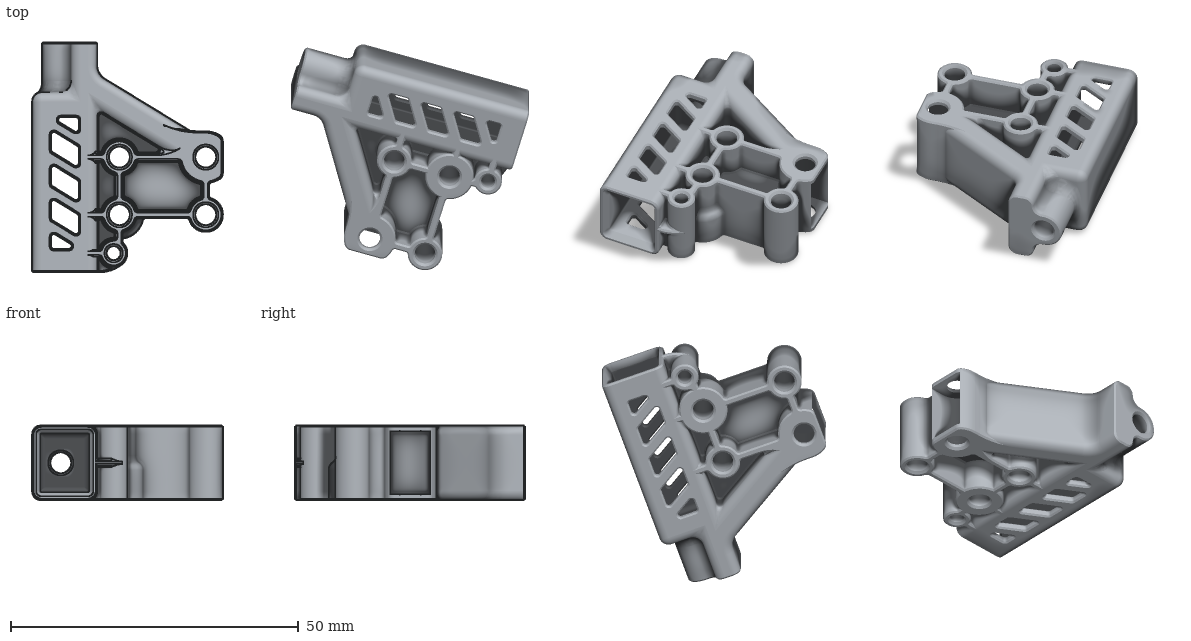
import cadquery as cq
import math

LENGTH = 40.0
HEIGHT = 13.0
HALF = HEIGHT / 2
EDGE = 0.28
ROUND = 1.6

TUBE_WIDTH = 11.35
TUBE_END = 31.28
TUBE_WALL = 1.4
MOUTH_WALL = 0.7
MOUTH_DEPTH = 1.3
CAVITY_END = 29.4
CAVITY_CORNER = 0.3
CAVITY_FILLET = 0.9

SLOT_WINDOW_X = 4.8
SLOT_WINDOW_Y = 22.9
SLOT_CENTER = (5.72, 15.53)
SLOT_WIDTH = 3.2
SLOT_PITCH = 5.05
SLOT_COUNT = 5
SLOT_CORNER = 0.5

ROD_X = 5.0
PLATE_LEFT = 6.8
NECK_FLARE = 2.0

ARM_ANGLE = math.radians(31.4)
ARM_WIDTH = 5.15
ARM_BEND = 2.7
ARM_START_Y = 34.43
ARM_CORNER = 0.7

BORE = 3.6
SMALL_BORE = 2.4
BORE_CHAMFER = 0.4
BOSS_WALL = 1.2
BOSS_R = BORE / 2 + BOSS_WALL
SMALL_BOSS_R = SMALL_BORE / 2 + BOSS_WALL
LEFT_X = 15.18
RIGHT_X = LEFT_X + 15.0
LOW_Y = 10.03
HIGH_Y = LOW_Y + 10.0
SMALL_X = 14.18
SMALL_Y = 3.35
RIB = 1.2
HALF_RIB = RIB / 2
RIB_FILLET = 0.5
TUBE_RIB_FILLET = 0.45
SMALL_RIB_FILLET = 0.3

HUB_R = 4.5
HUB_CORNER = 1.3
HUB_WALL = 1.0
HUB_ARM_R = 14.0
HUB_RIB_R = 7.4
HUB_RIB_RISE = 1.25

FOOT_R = 4.2
FOOT_CURVE = 1.5

WEB = 0.95
WEB_TOE_X = 11.6
WEB_TOE_R = 6.5

TOL = 0.01


def prism(outline, height=HEIGHT):
    """Extrude an XY outline symmetrically about the mid plane."""
    return outline.extrude(height / 2, both=True)


def block(x0, x1, y0, y1, height=HEIGHT):
    center = ((x0 + x1) / 2, (y0 + y1) / 2, 0)
    return cq.Workplane("XY").box(x1 - x0, y1 - y0, height).translate(center)


def cylinder(x, y, radius, height=HEIGHT):
    return prism(cq.Workplane("XY").center(x, y).circle(radius), height)


def inside(x0, x1, y0, y1, z0, z1):
    """Selector for edges whose centre lies in the given box."""
    return cq.selectors.BoxSelector((x0, y0, z0 - TOL), (x1, y1, z1 + TOL))


def nearest(x, y, z=0.0):
    return cq.selectors.NearestToPointSelector((x, y, z))


def fillet_upright(body, x, y, radius):
    """Fillet the Z-parallel edge nearest to (x, y)."""
    return body.edges("|Z").edges(nearest(x, y)).fillet(radius)


def make_tube():
    body = block(0, TUBE_WIDTH, 0, TUBE_END).edges("|Y or >Y").fillet(ROUND)
    return body.faces("<Y").edges().chamfer(EDGE)


def make_neck():
    """Rod and plate with one cross-section, made of tangent arcs of the same radius."""
    blend_x = PLATE_LEFT - ROUND
    blend_z = HALF - ROUND
    reach = math.hypot(blend_x - ROD_X, blend_z)
    rod_r = reach - ROUND
    touch_x = ROD_X + (blend_x - ROD_X) * rod_r / reach
    touch_z = blend_z * rod_r / reach
    diagonal = ROUND * math.sqrt(0.5)
    left_center = PLATE_LEFT + ROUND
    right_center = TUBE_WIDTH - ROUND
    section = (
        cq.Workplane("XZ", origin=(0, CAVITY_END, 0))
        .moveTo(TUBE_WIDTH, -blend_z)
        .lineTo(TUBE_WIDTH, blend_z)
        .threePointArc((right_center + diagonal, blend_z + diagonal), (right_center, HALF))
        .lineTo(left_center, HALF)
        .threePointArc((left_center - diagonal, blend_z + diagonal), (PLATE_LEFT, blend_z))
        .threePointArc((blend_x + diagonal, blend_z - diagonal), (touch_x, touch_z))
        .threePointArc((ROD_X - rod_r, 0), (touch_x, -touch_z))
        .threePointArc((blend_x + diagonal, diagonal - blend_z), (PLATE_LEFT, -blend_z))
        .threePointArc((left_center - diagonal, -blend_z - diagonal), (left_center, -HALF))
        .lineTo(right_center, -HALF)
        .threePointArc((right_center + diagonal, -blend_z - diagonal), (TUBE_WIDTH, -blend_z))
        .close()
    )
    return section.extrude(CAVITY_END - LENGTH).faces(">Y").edges().chamfer(EDGE)


def make_socket():
    """Tube and neck with the flared fillet between them."""
    body = make_tube().union(make_neck())
    seam = inside(ROUND + TOL, PLATE_LEFT + ROUND, CAVITY_END, TUBE_END + TOL, -HALF, HALF)
    return body.edges("%CIRCLE or %ELLIPSE").edges(seam).fillet(NECK_FLARE)


def make_cavity():
    """Inside of the tube with a rounded far end and a tapered lead-in at the mouth."""
    width = TUBE_WIDTH - 2 * TUBE_WALL
    height = HEIGHT - 2 * TUBE_WALL
    cavity = block(TUBE_WALL, TUBE_WIDTH - TUBE_WALL, 0, CAVITY_END, height)
    cavity = cavity.faces(">Y").edges().fillet(CAVITY_FILLET).edges("|Y").fillet(CAVITY_CORNER)
    outer = cq.Sketch().rect(TUBE_WIDTH - 2 * MOUTH_WALL, HEIGHT - 2 * MOUTH_WALL)
    outer = outer.vertices().fillet(ROUND - MOUTH_WALL)
    inner = cq.Sketch().rect(width, height).vertices().fillet(CAVITY_CORNER)
    inner = inner.moved(cq.Location(cq.Vector(0, 0, -MOUTH_DEPTH)))
    lead_in = cq.Workplane("XZ", origin=(TUBE_WIDTH / 2, 0, 0)).placeSketch(outer, inner)
    return cavity.union(lead_in.loft(ruled=True))


def make_slots():
    """Parallel diagonal bands clipped to a rectangular window; the end ones taper to a tip."""
    last = SLOT_COUNT // 2
    step = SLOT_PITCH / math.cos(ARM_ANGLE)
    half_x = SLOT_WINDOW_X / 2
    half_y = SLOT_WINDOW_Y / 2
    reach = 2 * SLOT_WINDOW_X
    band = block(-reach, reach, -SLOT_WIDTH / 2, SLOT_WIDTH / 2, 2 * HEIGHT)
    band = band.rotate((0, 0, 0), (0, 0, 1), -math.degrees(ARM_ANGLE))
    slots = []
    for i in range(-last, last + 1):
        left = reach if i == last else half_x
        right = reach if i == -last else half_x
        window = block(-left, right, -half_y, half_y, 2 * HEIGHT)
        slot = band.translate((0, i * step, 0)).intersect(window)
        slots.append(slot.edges("|Z").fillet(SLOT_CORNER).translate((*SLOT_CENTER, 0)))
    return slots


def make_bore(diameter, length):
    """Bore tool along Z, centred on the origin, with a conical mouth at each end."""
    radius = diameter / 2
    mouth = radius + BORE_CHAMFER
    top = length / 2
    neck = top - BORE_CHAMFER
    profile = [(0, -top), (mouth, -top), (radius, -neck), (radius, neck), (mouth, top), (0, top)]
    return cq.Workplane("XZ").polyline(profile).close().revolve(360, (0, 0, 0), (0, 1, 0))


def arm_point(x, inset=0.0):
    """Point at X on the outer arm line, or on the line lying inset deeper in the arm."""
    drop = inset / math.cos(ARM_ANGLE)
    return (x, ARM_START_Y - (x - TUBE_WIDTH) * math.tan(ARM_ANGLE) - drop)


def make_arm():
    """Diagonal strip with both long edges rounded, bent into the side of the neck."""
    root = PLATE_LEFT + ROUND
    outline = [
        arm_point(root, ARM_WIDTH),
        arm_point(RIGHT_X, ARM_WIDTH),
        arm_point(RIGHT_X),
        arm_point(TUBE_WIDTH),
        (TUBE_WIDTH, LENGTH - EDGE),
        (root, LENGTH - EDGE),
    ]
    arm = prism(cq.Workplane("XY").polyline(outline).close())
    arm = fillet_upright(arm, *arm_point(TUBE_WIDTH), ARM_BEND)
    middle = (TUBE_WIDTH + RIGHT_X) / 2
    for inset in (0, ARM_WIDTH):
        arm = arm.edges(">Z").edges(nearest(*arm_point(middle, inset), HALF)).fillet(ROUND)
    return arm.intersect(arm.mirror("XY"))


def make_hub():
    """Disc with a flat right side, faired into the arm and into the upper rib."""
    flat = RIGHT_X + BOSS_R
    disc = cylinder(RIGHT_X, HIGH_Y, HUB_R).intersect(block(0, flat, 0, LENGTH))
    disc = disc.edges("|Z and >X").fillet(HUB_CORNER)

    top = HIGH_Y + HUB_R
    crest_y = arm_point(0, ROUND - EDGE)[1]
    corner_x = (crest_y - top) / math.tan(ARM_ANGLE)
    run = HUB_ARM_R * math.tan(ARM_ANGLE / 2)
    arm_end = (corner_x - run * math.cos(ARM_ANGLE), top + run * math.sin(ARM_ANGLE))
    disc_end = (corner_x + run, top)
    arm_mid = (
        disc_end[0] - HUB_ARM_R * math.sin(ARM_ANGLE / 2),
        top + HUB_ARM_R * (1 - math.cos(ARM_ANGLE / 2)),
    )

    rib_top = HIGH_Y + HALF_RIB
    sweep = math.acos(1 - HUB_RIB_RISE / HUB_RIB_R)
    apex = (RIGHT_X - HUB_R, rib_top + HUB_RIB_RISE)
    toe_x = apex[0] - HUB_RIB_R * math.sin(sweep)
    rib_mid = (
        toe_x + HUB_RIB_R * math.sin(sweep / 2),
        rib_top + HUB_RIB_R * (1 - math.cos(sweep / 2)),
    )
    fairing = (
        cq.Workplane("XY")
        .moveTo(*arm_end)
        .threePointArc(arm_mid, disc_end)
        .lineTo(RIGHT_X, top)
        .lineTo(RIGHT_X, HIGH_Y)
        .lineTo(toe_x, HIGH_Y)
        .lineTo(toe_x, rib_top)
        .threePointArc(rib_mid, apex)
        .close()
    )
    return disc.union(prism(fairing))


def make_hub_cavity():
    """Hollow of the hub, closed above and below and open towards +X."""
    radius = HUB_R - HUB_WALL
    height = HEIGHT - 2 * HUB_WALL
    round_end = cylinder(RIGHT_X, HIGH_Y, radius, height)
    opening = block(RIGHT_X, RIGHT_X + HUB_R, HIGH_Y - radius, HIGH_Y + radius, height)
    return round_end.union(opening)


def rib_junctions():
    """Corners where the ribs run into the bosses and the hub, as (x, y, fillet radius)."""
    boss = math.sqrt(BOSS_R**2 - HALF_RIB**2)
    hub = math.sqrt(HUB_R**2 - HALF_RIB**2)
    small = math.sqrt(SMALL_BOSS_R**2 - HALF_RIB**2)
    corners = [(RIGHT_X - hub, HIGH_Y - HALF_RIB, RIB_FILLET)]
    for side in (-HALF_RIB, HALF_RIB):
        rib_x = LEFT_X + side
        small_top = SMALL_Y + math.sqrt(SMALL_BOSS_R**2 - (rib_x - SMALL_X) ** 2)
        corners += [
            (LEFT_X - boss, LOW_Y + side, RIB_FILLET),
            (LEFT_X + boss, LOW_Y + side, RIB_FILLET),
            (LEFT_X - boss, HIGH_Y + side, RIB_FILLET),
            (LEFT_X + boss, HIGH_Y + side, RIB_FILLET),
            (RIGHT_X - boss, LOW_Y + side, RIB_FILLET),
            (rib_x, LOW_Y + boss, RIB_FILLET),
            (rib_x, LOW_Y - boss, RIB_FILLET),
            (rib_x, HIGH_Y - boss, RIB_FILLET),
            (rib_x, small_top, RIB_FILLET),
            (RIGHT_X + side, LOW_Y + boss, RIB_FILLET),
            (RIGHT_X + side, HIGH_Y - hub, RIB_FILLET),
            (SMALL_X - small, SMALL_Y + side, SMALL_RIB_FILLET),
        ]
    return corners


def make_frame():
    """Hub, bosses and the ribs between them, with rounded junctions and broken edges."""
    root = TUBE_WIDTH - ROUND - EDGE
    frame = make_hub()
    for x, y in ((LEFT_X, LOW_Y), (LEFT_X, HIGH_Y), (RIGHT_X, LOW_Y)):
        frame = frame.union(cylinder(x, y, BOSS_R))
    frame = frame.union(cylinder(SMALL_X, SMALL_Y, SMALL_BOSS_R))
    for y, end in ((LOW_Y, RIGHT_X), (HIGH_Y, RIGHT_X), (SMALL_Y, SMALL_X)):
        frame = frame.union(block(root, end, y - HALF_RIB, y + HALF_RIB))
    for x, start in ((LEFT_X, SMALL_Y), (RIGHT_X, LOW_Y)):
        frame = frame.union(block(x - HALF_RIB, x + HALF_RIB, start, HIGH_Y))
    for x, y, radius in rib_junctions():
        frame = fillet_upright(frame, x, y, radius)
    return frame.faces(">Z or <Z").edges().chamfer(EDGE)


def make_foot():
    """Wider lower half of the low left boss with an S-shaped shoulder, filleted to its rib."""
    step = FOOT_R - BOSS_R
    sweep = math.acos(1 - step / 2 / FOOT_CURVE)
    rise = FOOT_CURVE * math.sin(sweep)
    sag = FOOT_CURVE * (1 - math.cos(sweep / 2))
    half_rise = FOOT_CURVE * math.sin(sweep / 2)
    foot = (
        cq.Workplane("XZ")
        .moveTo(0, -HALF)
        .lineTo(FOOT_R, -HALF)
        .lineTo(FOOT_R, -rise)
        .threePointArc((FOOT_R - sag, half_rise - rise), (FOOT_R - step / 2, 0))
        .threePointArc((BOSS_R + sag, rise - half_rise), (BOSS_R, rise))
        .lineTo(0, rise)
        .close()
        .revolve(360, (0, 0, 0), (0, 1, 0))
    )
    rib = cq.Workplane("XY", origin=(0, 0, -HALF)).box(
        2 * FOOT_R, RIB, HALF + rise, centered=(False, True, False)
    )
    foot = foot.union(rib)
    seam = inside(BOSS_R - HALF_RIB, FOOT_R, -HALF_RIB - TOL, -HALF_RIB + TOL, EDGE - HALF, rise)
    foot = foot.edges(seam).fillet(RIB_FILLET).faces("<Z").edges().chamfer(EDGE)
    return foot.translate((LEFT_X, LOW_Y, 0))


def toe_point(fraction):
    """Point on the toe arc, which starts along X at the mouth and ends tangent to the small boss."""
    sweep = math.atan2(SMALL_X - WEB_TOE_X, WEB_TOE_R - SMALL_Y)
    angle = fraction * sweep
    return (WEB_TOE_X + WEB_TOE_R * math.sin(angle), WEB_TOE_R * (1 - math.cos(angle)))


def make_web():
    """Mid-height plate reaching into the solids around it, with a curved toe at the mouth."""
    root = TUBE_WIDTH - EDGE
    outline = (
        cq.Workplane("XY")
        .moveTo(root, 0)
        .lineTo(WEB_TOE_X, 0)
        .threePointArc(toe_point(0.5), toe_point(1))
        .lineTo(SMALL_X, SMALL_Y)
        .lineTo(LEFT_X, SMALL_Y)
        .lineTo(LEFT_X, LOW_Y)
        .lineTo(RIGHT_X, LOW_Y)
        .lineTo(RIGHT_X, HIGH_Y)
        .lineTo(*arm_point(RIGHT_X - HUB_R, ARM_WIDTH / 2))
        .lineTo(*arm_point(root, ARM_WIDTH / 2))
        .close()
    )
    return prism(outline, WEB)


def round_pocket_corners(body):
    """Round the corners where the arm and the two long ribs leave their neighbours."""
    body = fillet_upright(body, *arm_point(TUBE_WIDTH, ARM_WIDTH), ARM_CORNER)
    tip_x = RIGHT_X - HUB_R - HUB_RIB_RISE * math.sqrt(2)
    body = fillet_upright(body, *arm_point(tip_x, ARM_WIDTH), ARM_CORNER)
    for y in (LOW_Y, HIGH_Y):
        for side in (-HALF_RIB, HALF_RIB):
            body = fillet_upright(body, TUBE_WIDTH, y + side, TUBE_RIB_FILLET)
    return body


def bevel_web(body):
    """Bevel the foot of every pocket wall and the free edge of the toe."""
    left = TUBE_WIDTH - 0.1
    pockets = [
        (LEFT_X + TOL, RIGHT_X, LOW_Y, HIGH_Y),
        (left, RIGHT_X, HIGH_Y, LENGTH),
        (left, LEFT_X, LOW_Y, HIGH_Y),
        (left, LEFT_X, SMALL_Y, LOW_Y),
    ]
    boss_flank = (SMALL_X - SMALL_BOSS_R / 2, SMALL_Y - SMALL_BOSS_R * math.sqrt(0.75))
    toe_edges = [toe_point(0.5), (TUBE_WIDTH, SMALL_Y / 2), boss_flank]
    for z in (-WEB / 2, WEB / 2):
        for pocket in pockets:
            body = body.edges(inside(*pocket, z, z)).chamfer(EDGE)
        toe = inside(left, LEFT_X, -TOL, SMALL_Y, z, z)
        for x, y in toe_edges:
            body = body.edges(toe).edges(nearest(x, y, z)).chamfer(EDGE)
    return body


def cut_slots(body):
    for slot in make_slots():
        body = body.cut(slot)
    return body


def bevel_slots(body):
    """Break the slot edges on the outer and inner faces of the tube walls."""
    half_x = SLOT_WINDOW_X / 2 + TOL
    half_y = SLOT_WINDOW_Y / 2 + TOL
    x, y = SLOT_CENTER
    levels = (-HALF, HALF, TUBE_WALL - HALF, HALF - TUBE_WALL)
    for z in levels:
        rims = inside(x - half_x, x + half_x, y - half_y, y + half_y, z, z)
        body = body.edges(rims).chamfer(EDGE)
    return body


def cut_bores(body):
    for x in (LEFT_X, RIGHT_X):
        for y in (LOW_Y, HIGH_Y):
            body = body.cut(make_bore(BORE, HEIGHT).translate((x, y, 0)))
    body = body.cut(make_bore(SMALL_BORE, HEIGHT).translate((SMALL_X, SMALL_Y, 0)))
    rod_bore = make_bore(BORE, LENGTH - CAVITY_END).rotate((0, 0, 0), (1, 0, 0), 90)
    return body.cut(rod_bore.translate((ROD_X, (LENGTH + CAVITY_END) / 2, 0)))


result = make_socket().union(make_arm()).union(make_frame())
result = round_pocket_corners(result)
result = bevel_web(result.union(make_web()))
result = result.union(make_foot())
result = cut_slots(result).cut(make_cavity())
result = bevel_slots(result)
result = cut_bores(result).cut(make_hub_cavity())